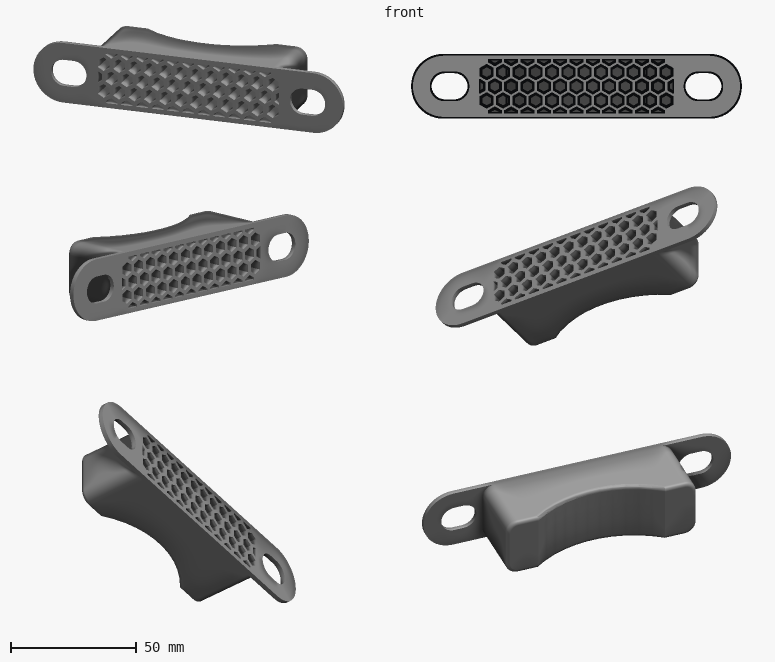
import cadquery as cq
import math

length = 131.0
height = 25.2
plate_thickness = 2.0

slot_length = 14.9
slot_height = 11.0
slot_spacing = 101.0

depth = 29.0
block_width = 81.0
block_corner_radius = 5.0
rim_fillet = 1.6
saddle_radius = 45.0
saddle_depth = 8.9
saddle_axis_y = depth - saddle_depth + saddle_radius

side_wall = 2.0
floor_wall = 3.0
pocket_draft_degrees = 1.0
hex_across_flats = 5.0
hex_diameter = hex_across_flats / math.cos(math.pi / 6)
middle_row_count = 13
middle_row_span = 78.0
rows_each_side = 2
hex_pitch = middle_row_span / (middle_row_count - 1)
row_pitch = hex_pitch * math.cos(math.pi / 6)


def box(width, start_y, end_y, box_height):
    """Box centred on X and Z, spanning start_y to end_y."""
    return cq.Workplane("XY").box(
        width, end_y - start_y, box_height, centered=(True, False, True)
    ).translate((0, start_y, 0))


def saddle_cylinder(radius):
    """Cylinder along Z about the saddle axis."""
    return cq.Workplane("XY").center(0, saddle_axis_y).circle(radius).extrude(height, both=True)


def mounting_plate():
    """Plate with fully rounded ends."""
    outline = cq.Workplane("XZ").slot2D(length, height)
    return outline.extrude(-plate_thickness)


def mounting_slots():
    """Rounded openings through both ends of the plate."""
    centers = [(-slot_spacing / 2, 0), (slot_spacing / 2, 0)]
    openings = cq.Workplane("XZ").pushPoints(centers).slot2D(slot_length, slot_height)
    return openings.extrude(-plate_thickness)


def saddle_block():
    """Block with a cylindrical saddle and a rounded rim."""
    block = box(block_width, 0, depth, height).edges("|Y").fillet(block_corner_radius)
    block = block.cut(saddle_cylinder(saddle_radius))
    margin = rim_fillet / 2
    rim_zone = cq.selectors.BoxSelector(
        (-block_width, depth - saddle_depth - margin, -height),
        (block_width, depth + margin, height),
    )
    return block.edges(rim_zone).edges("not |Z").fillet(rim_fillet)


def pocket_space():
    """Volume inside the block walls, its floor a constant wall thickness behind the saddle."""
    space = box(block_width - 2 * side_wall, 0, depth - floor_wall, height - 2 * side_wall)
    return space.cut(saddle_cylinder(saddle_radius + floor_wall))


def honeycomb_pockets():
    """Tapered hexagonal pockets, one fewer per row away from the middle, trimmed to the block walls."""
    base_plane = cq.Plane(origin=(0, 0, 0), xDir=(0, 0, 1), normal=(0, 1, 0))
    centers = []
    for row in range(-rows_each_side, rows_each_side + 1):
        count = middle_row_count - abs(row)
        for column in range(count):
            centers.append((row * row_pitch, (column - (count - 1) / 2) * hex_pitch))
    cells = cq.Workplane(base_plane).pushPoints(centers)
    cells = cells.polygon(6, hex_diameter).extrude(depth, taper=pocket_draft_degrees)
    return cells.intersect(pocket_space())


result = mounting_plate().union(saddle_block()).cut(mounting_slots()).cut(honeycomb_pockets())